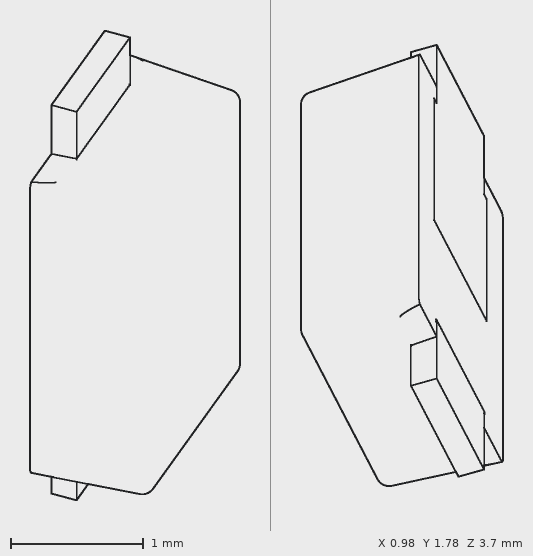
import cadquery as cq
import math

overall_length = 3.7

body_height = 0.98
body_width = 1.78
body_max_length = 2.805
draft_angle = 5.0
parting_height = 0.195
edge_radius = 0.1

lead_thickness = 0.207
lead_width = 1.0
lead_offset_y = 0.01
pad_width = 1.11
pad_top_z = 1.202
pad_bottom_z = -0.148
lip_width = 1.02
lip_length = 0.022
lip_top_z = -1.202

half_overall = overall_length / 2
half_max = body_max_length / 2
draft_slope = math.tan(math.radians(draft_angle))


def drafted_block():
    """Trapezoid block with rounded top and end edges."""
    half_base = half_max + parting_height * draft_slope
    half_top = half_base - body_height * draft_slope
    block = (
        cq.Workplane("XZ")
        .polyline([
            (0, -half_base),
            (body_height, -half_top),
            (body_height, half_top),
            (0, half_base),
        ])
        .close()
        .extrude(body_width / 2, both=True)
    )
    end_edges = block.faces("<Y or >Y").edges("not(|Z)")
    top_edges = block.faces(">X").edges()
    return top_edges.add(end_edges).fillet(edge_radius)


def foot_envelope():
    """Prism whose ends lean back in below the parting height."""
    half_foot = half_max - parting_height * draft_slope
    return (
        cq.Workplane("XZ")
        .polyline([
            (0, -half_foot),
            (parting_height, -half_max),
            (body_height, -half_max),
            (body_height, half_max),
            (parting_height, half_max),
            (0, half_foot),
        ])
        .close()
        .extrude(body_width / 2, both=True)
    )


def lead_plate(width, bottom_z, top_z):
    """Flat plate lying on the mounting face."""
    return (
        cq.Workplane("XY")
        .box(lead_thickness, width, top_z - bottom_z, centered=(False, True, False))
        .translate((0, lead_offset_y, bottom_z))
    )


def make_upper_lead():
    tab = lead_plate(lead_width, pad_bottom_z, half_overall)
    pad = lead_plate(pad_width, pad_bottom_z, pad_top_z)
    return tab.union(pad)


def make_lower_lead():
    tab = lead_plate(lead_width, -half_overall, lip_top_z)
    lip = lead_plate(lip_width, lip_top_z - lip_length, lip_top_z)
    return tab.union(lip)


def make_body(leads):
    """Moulded body with a matching recess for each lead."""
    body = drafted_block().intersect(foot_envelope())
    for lead in leads:
        body = body.cut(lead)
    return body


upper_lead = make_upper_lead()
lower_lead = make_lower_lead()
body = make_body([upper_lead, lower_lead])

result = cq.Compound.makeCompound([body.val(), upper_lead.val(), lower_lead.val()])